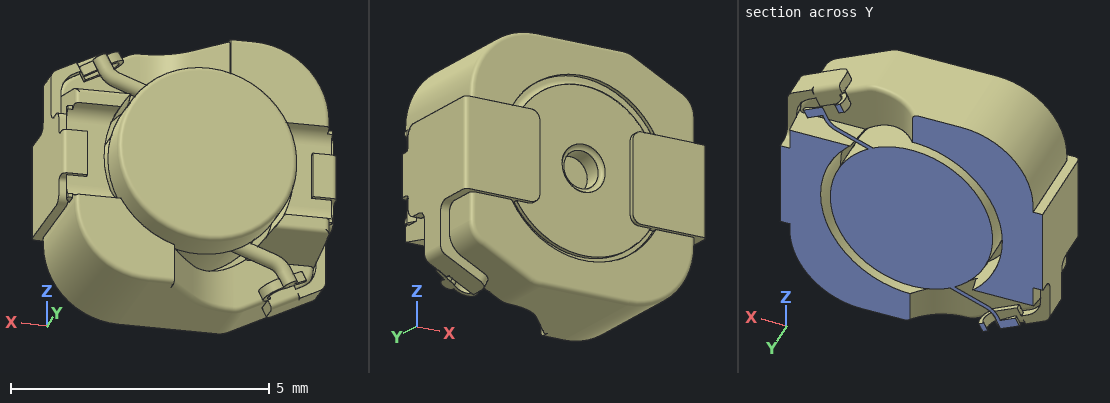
import cadquery as cq
import math


sheet = 0.2
pad_proud = 0.1
edge_round = 0.1
bend_round = 0.2

body_width = 5.105
body_height = 5.2
body_front = pad_proud
body_back = 2.6
corner_cut_x = 1.5
corner_cut_z = corner_cut_x / 2
corner_radius = 1.5
bevel_blend = 0.5
cavity_radius = 1.9
half_width = body_width / 2
half_height = body_height / 2

core_radius = 1.8
core_back = 3.0
core_flange = 0.78
winding_radius = 1.705
web_back = body_front + core_flange
groove_depth = 0.1
core_hole_radius = 0.39
core_hole_depth = 0.5

window_floor = 1.4
window_arc_radius = body_back - window_floor
window_arc_x = 0.935
window_ramp_angle = math.radians(49)
window_side_back_z = 1.25
window_side_floor_z = 1.5

terminal_half_height = 0.95
pad_inner_x = 1.055
plate_back = 2.105
tab_half_height = 0.45
tab_back = 2.405
tab_inner_x = 2.255
tab_root_blend = 0.1
arm_front = 0.915
arm_back = 1.51
arm_root_z = 1.43
arm_tip_x = 1.68
arm_crease_x = 2.24
roll_radius = 0.1
outer_x = half_width + sheet

latch_top = tab_back
latch_edge = 2.305
latch_root = 2.12
latch_reach = 0.1
notch_corner = 0.295

hook_u = 1.92
hook_y = 1.715
hook_radius = 0.295
hook_strip = 0.1
hook_root_angle = math.radians(245)
hook_tail_angle = math.radians(12)
hook_tail_length = 0.535

wire_radius = 0.15
wire_y = 2.015
wire_end_x = 1.91
wire_bend_radius = 0.4
wire_tilt = math.radians(20)
wire_stub_length = 0.435
wire_run_length = 1.1

bevel_angle = math.atan2(corner_cut_z, corner_cut_x)
bevel_cos = math.cos(bevel_angle)
bevel_sin = math.sin(bevel_angle)


def bevel_z(x, offset=0):
    """Height of the bevel line at x, shifted outward by offset."""
    return half_height - (x - half_width + corner_cut_x) * math.tan(bevel_angle) + offset / bevel_cos


def plan_plane(y):
    """XZ plane at depth y whose extrusions run toward +Y; local axes are X and -Z."""
    return cq.Workplane(cq.Plane((0, y, 0), xDir=(1, 0, 0), normal=(0, 1, 0)))


def plan_prism(points, y_from, y_to):
    """Prism from (x, z) points between two depths."""
    flat = [(x, -z) for x, z in points]
    return plan_plane(y_from).polyline(flat).close().extrude(y_to - y_from)


def disc(radius, y_from, y_to):
    """Disc about the core axis between two depths."""
    return plan_plane(y_from).circle(radius).extrude(y_to - y_from)


def box(x_range, y_range, z_range):
    """Box from its (low, high) range along each axis."""
    size = [high - low for low, high in (x_range, y_range, z_range)]
    corner = (x_range[0], y_range[0], z_range[0])
    return cq.Workplane("XY").box(*size, centered=False).translate(corner)


def opposite(shape):
    """The same feature turned half a revolution about the core axis."""
    return shape.rotate((0, 0, 0), (0, 1, 0), 180)


def make_window():
    """Opening for the wire lead at the bevelled corner, from its ramp to its slanted side."""
    ramp_x = window_arc_x - window_arc_radius * math.sin(window_ramp_angle)
    ramp_y = body_back - window_arc_radius * math.cos(window_ramp_angle)
    middle = window_ramp_angle / 2
    arc_middle = (
        window_arc_x - window_arc_radius * math.sin(middle),
        body_back - window_arc_radius * math.cos(middle),
    )
    rim_y = body_back - edge_round
    start_x = ramp_x - (rim_y - ramp_y) / math.tan(window_ramp_angle)
    beyond = 2 * half_width
    above = body_back + sheet
    profile = (
        cq.Workplane("XY")
        .moveTo(start_x, above)
        .lineTo(start_x, rim_y)
        .lineTo(ramp_x, ramp_y)
        .threePointArc(arc_middle, (window_arc_x, window_floor))
        .lineTo(beyond, window_floor)
        .lineTo(beyond, above)
        .close()
        .extrude(body_height)
    )
    slope = (window_side_floor_z - window_side_back_z) / (body_back - window_floor)
    side_z = window_side_back_z - slope * (above - body_back)
    side = (
        cq.Workplane("YZ")
        .polyline([
            (window_floor, window_side_floor_z),
            (above, side_z),
            (above, body_height),
            (window_floor, body_height),
        ])
        .close()
        .extrude(2 * beyond, both=True)
    )
    return profile.intersect(side)


def make_block():
    """Solid block with two rounded and two bevelled corners."""
    cut_x = half_width - corner_cut_x
    cut_z = half_height - corner_cut_z
    outline = [
        (-half_width, half_height), (cut_x, half_height), (half_width, cut_z),
        (half_width, -half_height), (-cut_x, -half_height), (-half_width, -cut_z),
    ]
    block = plan_prism(outline, body_front, body_back)
    for sign in (1, -1):
        for x, z, radius in (
            (-half_width, half_height, corner_radius),
            (cut_x, half_height, bevel_blend),
            (half_width, cut_z, bevel_blend),
        ):
            corner = (sign * x, (body_front + body_back) / 2, sign * z)
            block = block.edges(cq.NearestToPointSelector(corner)).fillet(radius)
    return block


def open_window(block, window, turn):
    """Cut a window and round the rim of its floor and ramp, and the end of its slanted side."""
    block = block.cut(window)
    rim_x = half_width - corner_cut_x / 2
    rim = (turn * rim_x, window_floor, turn * bevel_z(rim_x))
    side_end = (turn * half_width, body_back, turn * window_side_back_z)
    block = block.edges(cq.NearestToPointSelector(rim)).fillet(edge_round)
    return block.edges(cq.NearestToPointSelector(side_end)).fillet(edge_round)


def make_latch():
    """Wedge on the side wall that the terminal tab bends over."""
    inside = half_width - latch_reach
    tip = half_width + latch_reach
    return (
        cq.Workplane("XY")
        .polyline([
            (inside, latch_root), (half_width, latch_root), (tip, latch_edge),
            (tip, latch_top), (inside, latch_top),
        ])
        .close()
        .extrude(terminal_half_height, both=True)
    )


def make_notch():
    """Notch with rounded corners through the side wall at the back."""
    notch = box(
        (0, outer_x),
        (latch_edge, core_back),
        (-terminal_half_height, terminal_half_height),
    )
    return notch.edges("|X and <Y").fillet(notch_corner)


def make_body():
    """Hollow block with rounded faces, windows, latches and notches."""
    block = make_block()
    rounded = block.faces("<Y or >Y").edges().fillet(edge_round)
    window = make_window()
    cavity = disc(cavity_radius, web_back, core_back)
    block = block.cut(cavity)
    block = open_window(block, window, 1)
    block = open_window(block, opposite(window), -1)
    body = block.intersect(rounded)
    latch = make_latch()
    body = body.union(latch).union(opposite(latch)).cut(cavity)
    notch = make_notch()
    return body.cut(notch).cut(opposite(notch))


def make_core():
    """Back flange on the wound middle of the core."""
    flange = disc(core_radius, core_back - core_flange, core_back).faces(">Y").edges().fillet(edge_round)
    return flange.union(disc(winding_radius, body_front + groove_depth, core_back - core_flange))


def make_front_groove():
    """Ring gap between the core and the body on the front face."""
    groove_back = body_front + groove_depth
    ring = disc(cavity_radius, body_front, groove_back)
    return ring.cut(disc(core_radius, body_front, groove_back))


def make_front_rounding():
    """Relief that rounds the core's edge on the upper half of its front rim."""
    relief = (
        cq.Workplane("XY")
        .moveTo(core_radius, body_front)
        .lineTo(core_radius, body_front + edge_round)
        .radiusArc((core_radius - edge_round, body_front), -edge_round)
        .close()
    )
    return relief.revolve(180, (0, 0, 0), (0, -1, 0))


def make_core_hole():
    """Blind centre hole with a rounded mouth."""
    mouth = (
        cq.Workplane("XY")
        .moveTo(0, body_front)
        .lineTo(core_hole_radius + edge_round, body_front)
        .radiusArc((core_hole_radius, body_front + edge_round), -edge_round)
        .lineTo(core_hole_radius, body_front + core_hole_depth)
        .lineTo(0, body_front + core_hole_depth)
        .close()
    )
    return mouth.revolve(360, (0, 0, 0), (0, 1, 0))


def make_side_plate():
    """Side plate blank with its tab and the root of its arm."""
    half = terminal_half_height
    plate = (
        cq.Workplane("YZ", origin=(half_width, 0, 0))
        .polyline([
            (0, -half), (plate_back, -half),
            (plate_back, -tab_half_height), (tab_back, -tab_half_height),
            (tab_back, tab_half_height), (plate_back, tab_half_height),
            (plate_back, half), (arm_back, half),
            (arm_back, arm_root_z), (arm_front, arm_root_z),
            (arm_front, half), (0, half),
        ])
        .close()
        .extrude(sheet)
    )
    blends = (
        (plate_back, -half, bend_round), (plate_back, half, bend_round),
        (arm_back, half, bend_round), (arm_front, half, bend_round),
        (plate_back, -tab_half_height, tab_root_blend), (plate_back, tab_half_height, tab_root_blend),
    )
    for y, z, radius in blends:
        corner = (half_width + sheet / 2, y, z)
        plate = plate.edges(cq.NearestToPointSelector(corner)).fillet(radius)
    return plate


def make_pad_and_tab(plate):
    """Add the solder pad in front and the tab behind, then round the two bends."""
    half = terminal_half_height
    pad = box((pad_inner_x, outer_x), (0, sheet), (-half, half)).edges("|Y and <X").fillet(bend_round)
    tab = box((tab_inner_x, outer_x), (latch_edge, tab_back), (-tab_half_height, tab_half_height))
    bent = plate.union(pad).union(tab)
    for y in (0, tab_back):
        bent = bent.edges(cq.NearestToPointSelector((outer_x, y, 0))).fillet(edge_round)
    return bent


def make_arm():
    """Arm that follows the side wall round onto the bevel, with a rolled back edge near its tip."""
    tip_z = bevel_z(arm_tip_x, sheet)
    corner_z = bevel_z(outer_x, sheet)
    tip_inner = (arm_tip_x - sheet * bevel_sin, tip_z - sheet * bevel_cos)
    arm = plan_prism(
        [
            (outer_x, arm_root_z), (outer_x, corner_z), (arm_tip_x, tip_z),
            tip_inner, (half_width, bevel_z(half_width)), (half_width, arm_root_z),
        ],
        arm_front,
        arm_back,
    )
    bend = (outer_x, (arm_front + arm_back) / 2, corner_z)
    arm = arm.edges(cq.NearestToPointSelector(bend)).fillet(bend_round)
    inside_bend = (half_width, bend[1], bevel_z(half_width))
    arm = arm.edges(cq.NearestToPointSelector(inside_bend)).fillet(bevel_blend)
    tip_corner = ((arm_tip_x + tip_inner[0]) / 2, arm_front, (tip_z + tip_inner[1]) / 2)
    arm = arm.edges(cq.NearestToPointSelector(tip_corner)).fillet(bend_round)

    crease = (arm_crease_x, arm_back, bevel_z(arm_crease_x, sheet))
    roll_length = (arm_crease_x - arm_tip_x) / bevel_cos
    section = cq.Plane(crease, xDir=(bevel_sin, 0, bevel_cos), normal=(-bevel_cos, 0, bevel_sin))
    roll_relief = (
        cq.Workplane(section)
        .moveTo(0, -roll_radius)
        .radiusArc((-roll_radius, 0), -roll_radius)
        .lineTo(0, 0)
        .close()
        .extrude(roll_length)
    )
    shelf = (
        cq.Workplane(section)
        .rect(2 * sheet, arm_back - window_floor, centered=False)
        .extrude(roll_length)
        .translate((-2 * sheet * bevel_sin, window_floor - arm_back, -2 * sheet * bevel_cos))
    )
    return arm.union(shelf).cut(roll_relief)


def make_hook():
    """Flat hook that wraps the wire: a C-shaped strip with a straight tail."""
    flat = cq.Workplane(
        cq.Plane((0, 0, bevel_z(0)), xDir=(bevel_cos, 0, -bevel_sin), normal=(bevel_sin, 0, bevel_cos))
    )
    inner_radius = hook_radius - hook_strip

    def at(radius, angle):
        return (hook_u + radius * math.cos(angle), hook_y + radius * math.sin(angle))

    def along_tail(start, length):
        return (start[0] + length * math.cos(hook_tail_angle), start[1] - length * math.sin(hook_tail_angle))

    top = math.pi / 2 - hook_tail_angle
    middle = (top + hook_root_angle) / 2
    tip_reach = hook_tail_length + hook_strip / 2
    middle_top = at((hook_radius + inner_radius) / 2, top)
    outer_top = at(hook_radius, top)
    inner_top = at(inner_radius, top)
    return (
        flat.moveTo(*at(hook_radius, hook_root_angle))
        .threePointArc(at(hook_radius, middle), outer_top)
        .lineTo(*along_tail(outer_top, hook_tail_length))
        .threePointArc(along_tail(middle_top, tip_reach), along_tail(inner_top, hook_tail_length))
        .lineTo(*inner_top)
        .threePointArc(at(inner_radius, middle), at(inner_radius, hook_root_angle))
        .close()
        .extrude(-sheet)
    )


def make_wire():
    """Wire lead from the winding, bent outward to end flush with the hook."""
    run = (math.cos(wire_tilt), math.sin(wire_tilt))
    out = (bevel_sin, bevel_cos)
    turn = math.pi / 2 - bevel_angle - wire_tilt
    tangent = wire_bend_radius * math.tan(turn / 2)
    end = (wire_end_x, bevel_z(wire_end_x))
    corner = (end[0] - wire_stub_length * out[0], end[1] - wire_stub_length * out[1])
    bend_start = (corner[0] - tangent * run[0], corner[1] - tangent * run[1])
    bend_end = (corner[0] + tangent * out[0], corner[1] + tangent * out[1])
    start = (bend_start[0] - wire_run_length * run[0], bend_start[1] - wire_run_length * run[1])
    path = (
        cq.Workplane("XZ", origin=(0, wire_y, 0))
        .moveTo(*start)
        .lineTo(*bend_start)
        .tangentArcPoint(bend_end, relative=False)
        .lineTo(*end)
    )
    section = cq.Plane((start[0], wire_y, start[1]), xDir=(0, 1, 0), normal=(run[0], 0, run[1]))
    return cq.Workplane(section).circle(wire_radius).sweep(path)


def make_terminal():
    """One terminal with its wire lead."""
    return make_pad_and_tab(make_side_plate()).union(make_arm()).union(make_hook()).union(make_wire())


terminal = make_terminal()
result = make_body().union(make_core())
result = result.cut(make_front_groove()).cut(make_front_rounding()).cut(make_core_hole())
result = result.union(terminal).union(opposite(terminal))